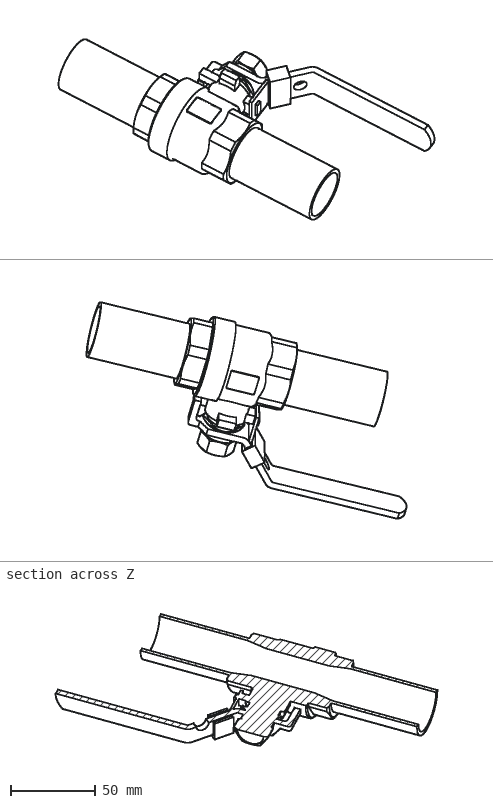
import cadquery as cq
import math


PIPE_LENGTH = 176.5
PIPE_DIA = 33.6
PIPE_BORE_DIA = 28.5
PORT_DIA = 24.0
BORE_TAPER_LENGTH = 12.6

LEFT_HEX_START = 54.7
FLANGE_START = 67.3
FLANGE_END = 81.0
BODY_TAPER_START = 102.5
RIGHT_HEX_END = 120.0
FLANGE_DIA = 48.5
FLANGE_CHAMFER = 0.8
BODY_DIA = 45.5
BODY_TAPER = 3.2
BODY_EDGE_RADIUS = 1.7
WRENCH_FLATS = 40.2
WRENCH_ROUND_DIA = 43.3
WRENCH_FACE_DIA = 39.5
WRENCH_CHAMFER = 1.0
PAD_RISE = 0.1
PAD_START = 83.0
PAD_END = 100.3
PAD_HEIGHT = BODY_DIA / 2 + PAD_RISE
PAD_WIDTH = 12.0
PAD_CORNER = 0.8

STEM_X = 90.2
COLLAR_DIA = 25.0
COLLAR_TOP = 34.0
GLAND_DIA = 20.0
WASHER_BOTTOM = 37.6
WASHER_RIM = 0.6
WASHER_FLATS = 22.3
WASHER_TOP_DIA = 20.2
NUT_BOTTOM = 48.0
NUT_TOP = 57.8
NUT_FLATS = 19.3
NUT_TOP_CHAMFER = 1.3
NUT_TOP_FACE_DIA = 16.6
NUT_BOTTOM_CHAMFER = 0.8
NUT_BOTTOM_FACE_DIA = 18.5

LUG_TOP = 33.5
LUG_BOTTOM = 28.0
PLAIN_LUG_BOTTOM = 28.5
LUG_REACH = 20.2
LUG_WIDTH = 10.7
LUG_CHAMFER_Y = 1.9
LUG_CHAMFER_Z = 3.2
LEFT_LUG_START = 70.2
LEFT_LUG_TOP_Z = 9.9
LATCH_PIN_END = 110.4
LATCH_PIN_BOTTOM = 29.9

STRIP = 4.0
STRIP_WIDTH = 22.3
PLATE_Y = 42.7
OVERALL_HEIGHT = 93.1
LEVER_Y = OVERALL_HEIGHT - FLANGE_DIA / 2 - STRIP / 2
LOW_BEND_X = 104.7
BEND_ANGLE = 48.0
BEND_RADIUS = 2.0
LEVER_END = 210.2
TIP_DEPTH = 4.6
HOLE_DIA = 8.0
HOLE_Y = 60.3
HOOK_START = 69.8
HOOK_BOTTOM = 28.0
HOOK_WIDTH = 6.7
HOOK_CORNER = 1.7
TAPER_START = 76.3
TAPER_END = 81.4

SLEEVE_LENGTH = 12.6
SLEEVE_THICKNESS = 8.8
SLEEVE_Y = 50.7
SLEEVE_BOTTOM_Z = -13.0
SLEEVE_TOP_Z = 14.5
SLEEVE_WALL = 1.9
LATCH_START = 107.0
LATCH_THICKNESS = 1.9
LATCH_TOP = 45.2
LATCH_BOTTOM = 26.0
LATCH_BOTTOM_Z = -10.5
LATCH_TOP_Z = 12.0


def box(x0, x1, y0, y1, z0, z1):
    """Box between two opposite corners."""
    return cq.Workplane("XY").box(x1 - x0, y1 - y0, z1 - z0, centered=False).translate((x0, y0, z0))


def pipe_cylinder(x0, x1, dia):
    """Cylinder on the pipe axis."""
    return cq.Workplane("YZ", origin=(x0, 0, 0)).circle(dia / 2).extrude(x1 - x0)


def stem_plane(y):
    """Plane across the stem axis at height y; extruding goes away from the pipe."""
    return cq.Workplane(cq.Plane(origin=(STEM_X, y, 0), xDir=(1, 0, 0), normal=(0, 1, 0)))


def stem_cylinder(y0, y1, dia):
    """Cylinder on the stem axis."""
    return stem_plane(y0).circle(dia / 2).extrude(y1 - y0)


def stem_cone(y0, dia0, y1, dia1):
    """Truncated cone on the stem axis."""
    return stem_plane(y0).circle(dia0 / 2).workplane(offset=y1 - y0).circle(dia1 / 2).loft()


def corner_dia(flats):
    """Corner-to-corner size of a hexagon from its size across flats."""
    return flats / math.cos(math.pi / 6)


def wrench_hex():
    """Hexagonal bar with rounded corners and chamfered ends, flats facing up and down."""
    length = RIGHT_HEX_END - LEFT_HEX_START
    plane = cq.Workplane("YZ", origin=(LEFT_HEX_START, 0, 0))
    prism = plane.polygon(6, corner_dia(WRENCH_FLATS)).extrude(length)
    face_r = WRENCH_FACE_DIA / 2
    round_r = WRENCH_ROUND_DIA / 2
    rounding = (
        cq.Workplane("XY")
        .moveTo(LEFT_HEX_START, 0)
        .lineTo(LEFT_HEX_START, face_r)
        .lineTo(LEFT_HEX_START + WRENCH_CHAMFER, round_r)
        .lineTo(RIGHT_HEX_END - WRENCH_CHAMFER, round_r)
        .lineTo(RIGHT_HEX_END, face_r)
        .lineTo(RIGHT_HEX_END, 0)
        .close()
        .revolve(360, (0, 0, 0), (1, 0, 0))
    )
    return prism.intersect(rounding)


def barrel():
    """Flange, the cove down to the round barrel, and the barrel's tapered right end."""
    flange_r = FLANGE_DIA / 2
    body_r = BODY_DIA / 2
    cove = flange_r - body_r
    cove_mid = cove * math.sqrt(0.5)
    taper_end = BODY_TAPER_START + BODY_TAPER
    turned = (
        cq.Workplane("XY")
        .moveTo(FLANGE_START, 0)
        .lineTo(FLANGE_START, flange_r - FLANGE_CHAMFER)
        .lineTo(FLANGE_START + FLANGE_CHAMFER, flange_r)
        .lineTo(FLANGE_END, flange_r)
        .threePointArc(
            (FLANGE_END + cove - cove_mid, flange_r - cove_mid),
            (FLANGE_END + cove, body_r),
        )
        .lineTo(BODY_TAPER_START, body_r)
        .lineTo(taper_end, body_r - BODY_TAPER)
        .lineTo(taper_end, 0)
        .close()
        .revolve(360, (0, 0, 0), (1, 0, 0))
    )
    taper_edge = cq.selectors.BoxSelector(
        (BODY_TAPER_START - BODY_TAPER / 2, -FLANGE_DIA, -FLANGE_DIA),
        (BODY_TAPER_START + BODY_TAPER / 2, FLANGE_DIA, FLANGE_DIA),
    )
    return turned.edges("%CIRCLE").edges(taper_edge).fillet(BODY_EDGE_RADIUS)


def valve_body():
    """Pipe, wrench hexagons, and the barrel with its two raised pads."""
    half_pad = PAD_WIDTH / 2
    pads = box(PAD_START, PAD_END, -half_pad, half_pad, -PAD_HEIGHT, PAD_HEIGHT)
    pads = pads.edges("|Z").fillet(PAD_CORNER)
    return pipe_cylinder(0, PIPE_LENGTH, PIPE_DIA).union(wrench_hex()).union(barrel()).union(pads)


def bore():
    """Wide bore in each pipe end, tapering to the narrower port through the valve."""
    wide_r = PIPE_BORE_DIA / 2
    port_r = PORT_DIA / 2
    return (
        cq.Workplane("XY")
        .moveTo(0, 0)
        .lineTo(0, wide_r)
        .lineTo(LEFT_HEX_START, wide_r)
        .lineTo(LEFT_HEX_START + BORE_TAPER_LENGTH, port_r)
        .lineTo(RIGHT_HEX_END - BORE_TAPER_LENGTH, port_r)
        .lineTo(RIGHT_HEX_END, wide_r)
        .lineTo(PIPE_LENGTH, wide_r)
        .lineTo(PIPE_LENGTH, 0)
        .close()
        .revolve(360, (0, 0, 0), (1, 0, 0))
    )


def lock_washer():
    """Hexagonal washer with its corners on X, coned towards the handle."""
    top = PLATE_Y - STRIP / 2
    rim_top = WASHER_BOTTOM + WASHER_RIM
    corners = corner_dia(WASHER_FLATS)
    prism = stem_plane(WASHER_BOTTOM).polygon(6, corners).extrude(top - WASHER_BOTTOM)
    rim = stem_cylinder(WASHER_BOTTOM, rim_top, corners)
    return prism.intersect(rim.union(stem_cone(rim_top, corners, top, WASHER_TOP_DIA)))


def stem_nut():
    """Hexagonal nut with its corners on X, chamfered more at the top than at the bottom."""
    corners = corner_dia(NUT_FLATS)
    low = NUT_BOTTOM + NUT_BOTTOM_CHAMFER
    high = NUT_TOP - NUT_TOP_CHAMFER
    prism = stem_plane(NUT_BOTTOM).polygon(6, corners).extrude(NUT_TOP - NUT_BOTTOM)
    rounding = stem_cylinder(low, high, corners)
    rounding = rounding.union(stem_cone(NUT_BOTTOM, NUT_BOTTOM_FACE_DIA, low, corners))
    rounding = rounding.union(stem_cone(high, corners, NUT_TOP, NUT_TOP_FACE_DIA))
    return prism.intersect(rounding)


def stem():
    """Collar, gland, washer, spacer and nut stacked along the stem axis."""
    collar = stem_cylinder(PORT_DIA / 2, COLLAR_TOP, COLLAR_DIA)
    gland = stem_cylinder(COLLAR_TOP, NUT_BOTTOM, GLAND_DIA)
    return collar.union(gland).union(lock_washer()).union(stem_nut())


def stop_lugs():
    """Four lugs around the collar; the right one ends in a pin through the latch plate."""
    half = LUG_WIDTH / 2
    upper = (
        cq.Workplane("YZ", origin=(STEM_X - half, 0, 0))
        .moveTo(LUG_TOP, 0)
        .lineTo(LUG_TOP, LUG_REACH)
        .lineTo(LUG_BOTTOM + LUG_CHAMFER_Y, LUG_REACH)
        .lineTo(LUG_BOTTOM, LUG_REACH - LUG_CHAMFER_Z)
        .lineTo(LUG_BOTTOM, 0)
        .close()
        .extrude(LUG_WIDTH)
    )
    lower = box(STEM_X - half, STEM_X + half, PLAIN_LUG_BOTTOM, LUG_TOP, -LUG_REACH, 0)
    left = box(LEFT_LUG_START, STEM_X, PLAIN_LUG_BOTTOM, LUG_TOP, HOOK_WIDTH / 2, LEFT_LUG_TOP_Z)
    right = box(STEM_X, LATCH_START, LUG_BOTTOM, LUG_TOP, -half, half)
    pin = box(STEM_X, LATCH_PIN_END, LATCH_PIN_BOTTOM, LUG_TOP, -half, half)
    return upper.union(lower).union(left).union(right).union(pin)


def slope_x(y):
    """X of the sloped strip's middle line at height y."""
    return LOW_BEND_X + (y - PLATE_Y) / math.tan(math.radians(BEND_ANGLE))


def strip_outline():
    """Side shape of the bent strip: hook, plate, slope and lever, with rounded bends."""
    half = STRIP / 2
    miter = half * math.tan(math.radians(BEND_ANGLE / 2))
    high_bend_x = slope_x(LEVER_Y)
    low_inner = (LOW_BEND_X - miter, PLATE_Y + half)
    low_outer = (LOW_BEND_X + miter, PLATE_Y - half)
    high_outer = (high_bend_x - miter, LEVER_Y + half)
    high_inner = (high_bend_x + miter, LEVER_Y - half)
    hook_outer = (HOOK_START, PLATE_Y + half)
    hook_inner = (HOOK_START + STRIP, PLATE_Y - half)
    outline = [
        (HOOK_START, HOOK_BOTTOM),
        hook_outer,
        low_inner,
        high_outer,
        (LEVER_END, LEVER_Y + half),
        (LEVER_END, LEVER_Y - half),
        high_inner,
        low_outer,
        hook_inner,
        (HOOK_START + STRIP, HOOK_BOTTOM),
    ]
    bar = cq.Workplane("XY").polyline(outline).close().extrude(STRIP_WIDTH / 2, both=True)

    def round_bend(solid, point, radius):
        return solid.edges(cq.selectors.NearestToPointSelector((*point, 0))).fillet(radius)

    for point in (low_inner, high_inner):
        bar = round_bend(bar, point, BEND_RADIUS)
    for point in (low_outer, high_outer):
        bar = round_bend(bar, point, BEND_RADIUS + STRIP)
    for point in (hook_outer, hook_inner):
        bar = round_bend(bar, point, HOOK_CORNER)
    return bar


def strip_plan():
    """Width of the strip along X: narrow hook, tapered shoulders and rounded lever tip."""
    half = STRIP_WIDTH / 2
    hook_half = HOOK_WIDTH / 2
    return (
        cq.Workplane("XZ")
        .moveTo(HOOK_START, -hook_half)
        .lineTo(TAPER_START, -hook_half)
        .lineTo(TAPER_END, -half)
        .lineTo(LEVER_END - TIP_DEPTH, -half)
        .threePointArc((LEVER_END, 0), (LEVER_END - TIP_DEPTH, half))
        .lineTo(TAPER_END, half)
        .lineTo(TAPER_START, hook_half)
        .lineTo(HOOK_START, hook_half)
        .close()
        .extrude(-LEVER_Y - STRIP)
    )


def handle():
    """Bent strip with a hanging hole through its sloped part."""
    angle = math.radians(BEND_ANGLE)
    across = (-math.sin(angle), math.cos(angle), 0)
    hole_plane = cq.Plane(origin=(slope_x(HOLE_Y), HOLE_Y, 0), xDir=(0, 0, 1), normal=across)
    hole = cq.Workplane(hole_plane).circle(HOLE_DIA / 2).extrude(STRIP, both=True)
    return strip_outline().intersect(strip_plan()).cut(hole)


def sliding_lock():
    """Rectangular sleeve around the sloped strip and the latch plate below it."""
    angle = math.radians(BEND_ANGLE)
    along = (math.cos(angle), math.sin(angle), 0)
    middle_z = (SLEEVE_TOP_Z + SLEEVE_BOTTOM_Z) / 2
    height = SLEEVE_TOP_Z - SLEEVE_BOTTOM_Z
    middle = cq.Plane(origin=(slope_x(SLEEVE_Y), SLEEVE_Y, middle_z), xDir=(0, 0, 1), normal=along)
    sleeve = (
        cq.Workplane(middle)
        .rect(height, SLEEVE_THICKNESS)
        .rect(height - 2 * SLEEVE_WALL, SLEEVE_THICKNESS - 2 * SLEEVE_WALL)
        .extrude(SLEEVE_LENGTH / 2, both=True)
    )
    latch_end = LATCH_START + LATCH_THICKNESS
    latch = box(LATCH_START, latch_end, LATCH_BOTTOM, LATCH_TOP, LATCH_BOTTOM_Z, LATCH_TOP_Z)
    return sleeve.union(latch)


valve = valve_body().union(stem()).cut(bore())
result = valve.union(stop_lugs()).union(handle()).union(sliding_lock()).solids()